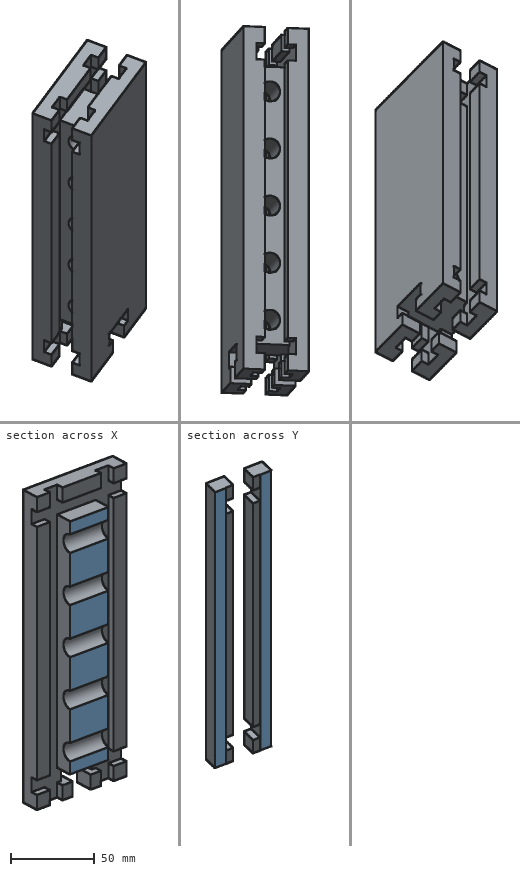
import cadquery as cq

width = 40.0
depth = 70.0
height = 210.0

neck_width = 14.0
head_width = 24.0
neck_depth = 10.0
slot_depth = 20.0

hole_diameter = 12.2
hole_count = 5
hole_spacing = height / (hole_count + 1)


def t_slot(mouth_center, outward, run_direction, length):
    """T-slot cutter open towards `outward`, running both ways from the middle of its mouth."""
    run = cq.Vector(*run_direction)
    section = cq.Plane(origin=mouth_center, xDir=run.cross(cq.Vector(*outward)), normal=run)
    neck = (
        cq.Workplane(section)
        .center(0, slot_depth / 2)
        .rect(neck_width, slot_depth)
        .extrude(length / 2, both=True)
    )
    head = (
        cq.Workplane(section)
        .center(0, (neck_depth + slot_depth) / 2)
        .rect(head_width, slot_depth - neck_depth)
        .extrude(length / 2, both=True)
    )
    return neck.union(head)


block = cq.Workplane("XY").box(width, depth, height)

for side in (-1, 1):
    block = block.cut(t_slot((0, side * depth / 2, 0), (0, side, 0), (0, 0, 1), height))

for side in (-1, 1):
    block = block.cut(t_slot((0, 0, side * height / 2), (0, 0, side), (0, 1, 0), depth))

block = block.cut(t_slot((0, 0, -height / 2), (0, 0, -1), (1, 0, 0), width))

hole_centers = [(0, (i - (hole_count - 1) / 2) * hole_spacing) for i in range(hole_count)]
holes = cq.Workplane("XZ").pushPoints(hole_centers).circle(hole_diameter / 2).extrude(depth / 2, both=True)

result = block.cut(holes)